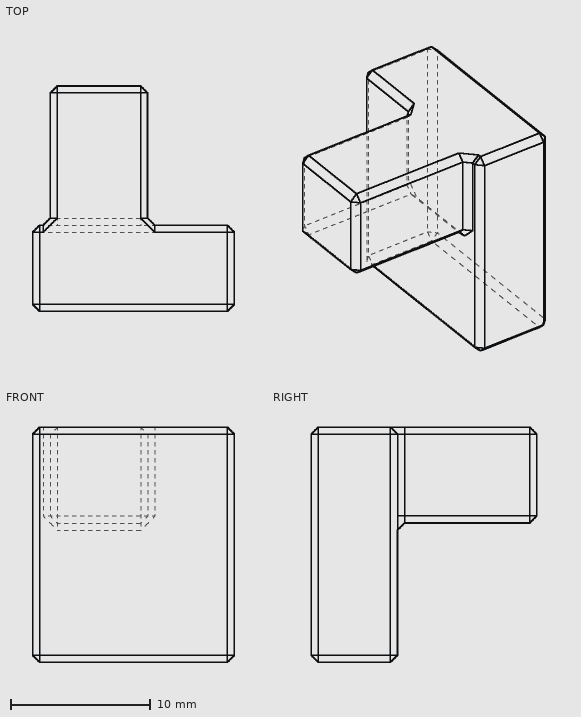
import cadquery as cq

width = 14.5
depth = 16.2
height = 16.9

plate_depth = 6.2
tongue_width = 7.0
tongue_height = 6.9
tongue_left = 1.27
chamfer = 0.5

tongue_right = tongue_left + tongue_width
tongue_bottom = height - tongue_height

flare_start = plate_depth + chamfer
flare_growth = 2 * chamfer


def make_plate():
    """Rectangular block with every edge chamfered."""
    block = cq.Workplane("XY").box(width, plate_depth, height, centered=False)
    return block.edges().chamfer(chamfer)


def make_tongue():
    """Bar rooted inside the plate, chamfered along its length and around its free end."""
    root = plate_depth / 2
    bar = cq.Workplane("XY").box(tongue_width, depth - root, tongue_height, centered=False)
    bar = bar.edges("|Y or >Y").chamfer(chamfer)
    return bar.translate((tongue_left, root, tongue_bottom))


def flare_section(growth):
    """Tongue outline grown outward at its sides and bottom, as (x, z) points."""
    left = tongue_left - growth
    right = tongue_right + growth
    bottom = tongue_bottom - growth
    lower_cut = chamfer + growth
    return [
        (left, bottom + lower_cut),
        (left + lower_cut, bottom),
        (right - lower_cut, bottom),
        (right, bottom + lower_cut),
        (right, height - chamfer),
        (right - chamfer, height),
        (left + chamfer, height),
        (left, height - chamfer),
    ]


def make_flare():
    """45 degree flare that fills the inner corners between tongue and plate."""
    return (
        cq.Workplane("XZ", origin=(0, flare_start, 0))
        .polyline(flare_section(0))
        .close()
        .workplane(offset=flare_growth)
        .polyline(flare_section(flare_growth))
        .close()
        .loft(ruled=True)
    )


result = make_plate().union(make_tongue()).union(make_flare()).clean()